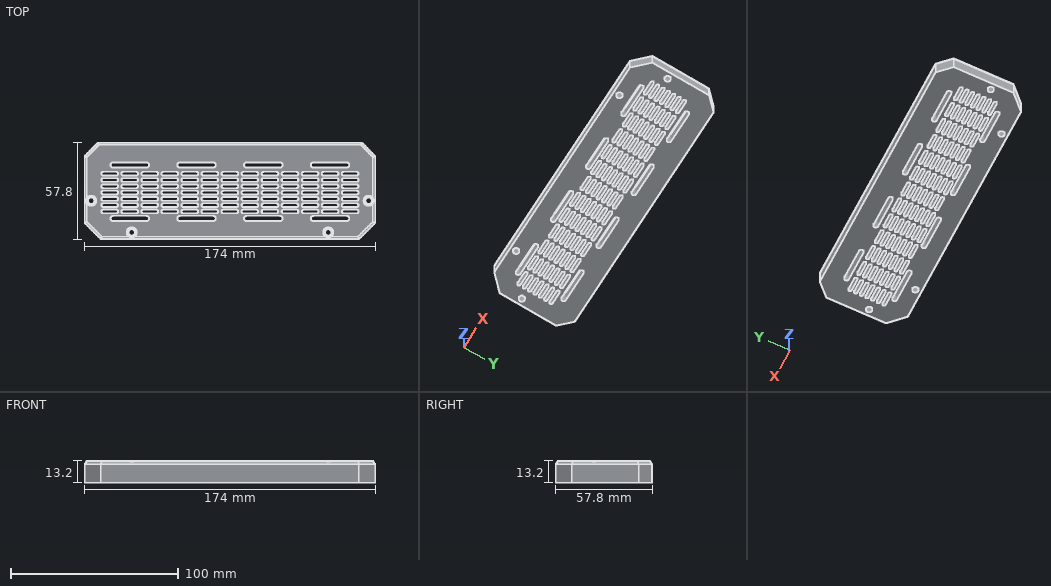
import cadquery as cq
import math

LENGTH = 174.0
WIDTH = 57.8
HEIGHT = 13.2

FRONT_CORNER_X = 9.7
FRONT_CORNER_Y = 9.7
BACK_CORNER_X = 8.0
BACK_CORNER_Y = 8.2

BEVEL_HEIGHT = 2.1
BEVEL_INSET = 1.4

SMALL_COLUMNS = 13
SMALL_ROWS = 7
SMALL_SPAN_X = 144.0
SMALL_SPAN_Y = 22.6
SMALL_PITCH_X = SMALL_SPAN_X / (SMALL_COLUMNS - 1)
SMALL_PITCH_Y = SMALL_SPAN_Y / (SMALL_ROWS - 1)
SMALL_SLOT_LENGTH = 10.0
SMALL_SLOT_WIDTH = 2.1
SMALL_CENTER_Y = -1.0

LONG_COLUMNS = 4
LONG_ROWS = 2
LONG_SPAN_X = 120.0
LONG_PITCH_X = LONG_SPAN_X / (LONG_COLUMNS - 1)
LONG_PITCH_Y = 32.0
LONG_SLOT_LENGTH = 23.0
LONG_SLOT_WIDTH = 3.0
LONG_CENTER_Y = -0.5

HOLE_DIAMETER = 3.8
COUNTERBORE_DIAMETER = 6.1
COUNTERBORE_DEPTH = 3.0
HOLE_EDGE_DISTANCE = 4.0
END_HOLE_Y = -6.0
FRONT_HOLE_SPACING = 117.7


def make_body():
    """Eight-sided plate with a sloped band around its top face."""
    half_x = LENGTH / 2
    half_y = WIDTH / 2
    outline = [
        (-half_x + FRONT_CORNER_X, -half_y),
        (half_x - FRONT_CORNER_X, -half_y),
        (half_x, -half_y + FRONT_CORNER_Y),
        (half_x, half_y - BACK_CORNER_Y),
        (half_x - BACK_CORNER_X, half_y),
        (-half_x + BACK_CORNER_X, half_y),
        (-half_x, half_y - BACK_CORNER_Y),
        (-half_x, -half_y + FRONT_CORNER_Y),
    ]
    wall_height = HEIGHT - BEVEL_HEIGHT
    bevel_angle = math.degrees(math.atan2(BEVEL_INSET, BEVEL_HEIGHT))
    walls = cq.Workplane("XY").polyline(outline).close().extrude(wall_height)
    bevel = (
        cq.Workplane("XY", origin=(0, 0, wall_height))
        .polyline(outline)
        .close()
        .extrude(BEVEL_HEIGHT, taper=bevel_angle)
    )
    return walls.union(bevel)


def cut_slots(body, columns, rows, pitch_x, pitch_y, length, width, center_y):
    """Cut a grid of round-ended slots, long in X, right through the plate."""
    slots = (
        cq.Workplane("XY", origin=(0, center_y, 0))
        .rarray(pitch_x, pitch_y, columns, rows)
        .slot2D(length, width)
        .extrude(HEIGHT)
    )
    return body.cut(slots)


def cut_screw_holes(body):
    """Cut one hole near each end and two along the front edge."""
    end_hole_x = LENGTH / 2 - HOLE_EDGE_DISTANCE
    front_hole_x = FRONT_HOLE_SPACING / 2
    front_hole_y = -WIDTH / 2 + HOLE_EDGE_DISTANCE
    positions = [
        (-end_hole_x, END_HOLE_Y),
        (end_hole_x, END_HOLE_Y),
        (-front_hole_x, front_hole_y),
        (front_hole_x, front_hole_y),
    ]
    return (
        cq.Workplane(body.val())
        .copyWorkplane(cq.Workplane("XY", origin=(0, 0, HEIGHT)))
        .pushPoints(positions)
        .cboreHole(HOLE_DIAMETER, COUNTERBORE_DIAMETER, COUNTERBORE_DEPTH)
    )


plate = make_body()
plate = cut_slots(
    plate, SMALL_COLUMNS, SMALL_ROWS, SMALL_PITCH_X, SMALL_PITCH_Y,
    SMALL_SLOT_LENGTH, SMALL_SLOT_WIDTH, SMALL_CENTER_Y,
)
plate = cut_slots(
    plate, LONG_COLUMNS, LONG_ROWS, LONG_PITCH_X, LONG_PITCH_Y,
    LONG_SLOT_LENGTH, LONG_SLOT_WIDTH, LONG_CENTER_Y,
)
result = cut_screw_holes(plate)